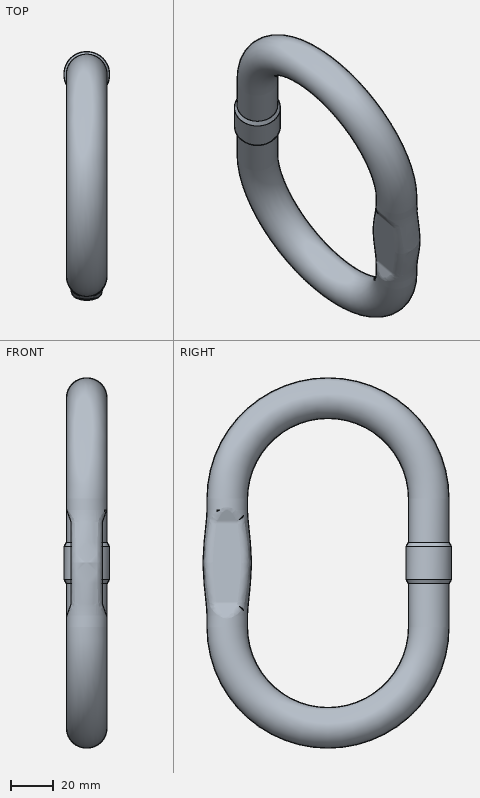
import cadquery as cq

overall_height = 172.7
bar_diameter = 19.0
straight_length = 59.8
bar_radius = bar_diameter / 2
bend_radius = (overall_height - straight_length - bar_diameter) / 2

collar_diameter = 21.5
collar_length = 19.3
collar_chamfer_length = 2.0

barrel_bulge = 1.9
barrel_shoulder = 0.26
barrel_length = 49.4
flat_offset = 7.3
flat_length = 38.0
relief_length = 50.5
flat_blend_radius = 4.0


def bend(direction):
    """Half torus closing the oval at the top (+1) or the bottom (-1)."""
    end_height = direction * straight_length / 2
    return (
        cq.Workplane("XY", origin=(0, -bend_radius, end_height))
        .circle(bar_radius)
        .revolve(180, (0, bend_radius, 0), (-direction, bend_radius, 0))
    )


def leg_workplane(leg_y):
    """Radius/height plane whose local Y axis is the centre line of a leg."""
    return cq.Workplane("XZ", origin=(0, leg_y, 0))


def collared_leg():
    """Straight leg with a collar chamfered down to the bar at both ends."""
    leg_end = straight_length / 2
    collar_end = collar_length / 2
    land_end = collar_end - collar_chamfer_length
    collar_radius = collar_diameter / 2
    return (
        leg_workplane(bend_radius)
        .moveTo(0, -leg_end)
        .lineTo(bar_radius, -leg_end)
        .lineTo(bar_radius, -collar_end)
        .lineTo(collar_radius, -land_end)
        .lineTo(collar_radius, land_end)
        .lineTo(bar_radius, collar_end)
        .lineTo(bar_radius, leg_end)
        .lineTo(0, leg_end)
        .close()
        .revolve(360, (0, 0, 0), (0, 1, 0))
    )


def barrel_leg():
    """Straight leg swelling gently into a barrel whose outline is upright at mid height."""
    leg_end = straight_length / 2
    barrel_end = barrel_length / 2
    barrel_radius = bar_radius + barrel_bulge
    shoulder_radius = bar_radius + barrel_shoulder
    third = barrel_end / 3
    return (
        leg_workplane(-bend_radius)
        .moveTo(0, -leg_end)
        .lineTo(bar_radius, -leg_end)
        .lineTo(bar_radius, -barrel_end)
        .bezier([
            (bar_radius, -barrel_end),
            (shoulder_radius, -2 * third),
            (barrel_radius, -third),
            (barrel_radius, 0),
        ])
        .bezier([
            (barrel_radius, 0),
            (barrel_radius, third),
            (shoulder_radius, 2 * third),
            (bar_radius, barrel_end),
        ])
        .lineTo(bar_radius, leg_end)
        .lineTo(0, leg_end)
        .close()
        .revolve(360, (0, 0, 0), (0, 1, 0))
    )


def flat_cutter(side):
    """Block removing one side of the barrel; its inner face is the flat and its sloped ends."""
    flat_end = flat_length / 2
    relief_end = relief_length / 2
    slope = (bar_radius - flat_offset) / (relief_end - flat_end)
    block_depth = bar_radius
    block_x = flat_offset + block_depth
    block_end = flat_end + block_depth / slope
    block_width = 2 * bar_diameter
    return (
        leg_workplane(-bend_radius)
        .polyline(
            [
                (side * flat_offset, -flat_end),
                (side * flat_offset, flat_end),
                (side * block_x, block_end),
                (side * block_x, -block_end),
            ]
        )
        .close()
        .extrude(block_width / 2, both=True)
    )


def flattened_leg():
    """Barrel leg with both flats cut and all their edges blended."""
    leg = barrel_leg()
    for side in (-1, 1):
        leg = leg.cut(flat_cutter(side))
        flat_region = cq.selectors.BoxSelector(
            (side * flat_offset / 2, -bend_radius - bar_diameter, -relief_length / 2),
            (side * bar_diameter, -bend_radius + bar_diameter, relief_length / 2),
        )
        flat_and_slopes = leg.faces(flat_region).faces("%PLANE")
        leg = flat_and_slopes.edges().fillet(flat_blend_radius)
    return leg


result = (
    collared_leg()
    .union(bend(1))
    .union(bend(-1))
    .union(flattened_leg())
)